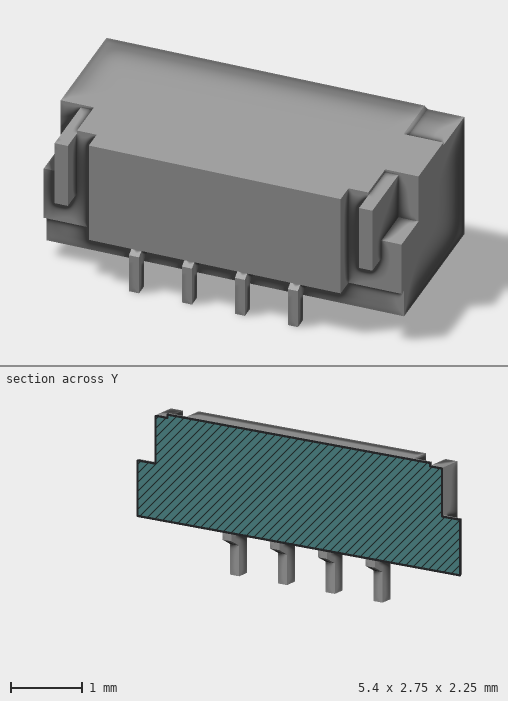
import cadquery as cq


width = 5.4
overall_depth = 2.75
overall_height = 2.25

pin_drop = 0.25
housing_height = overall_height - pin_drop
front_recess = 0.05
nose_depth = overall_depth - front_recess
nose_width = 3.8
shoulder_depth = 2.4
base_depth = 2.3
base_height = 0.43

blade_thickness = 0.2
blade_height = 1.0
blade_top_gap = 0.05
blade_side_gap = 0.3
pocket_back = 1.75
pocket_drop = 0.75
pocket_width = blade_side_gap + blade_thickness

marker_width = 0.6
marker_length = 0.8
marker_drop = 0.05

pin_count = 4
pin_pitch = 0.8
pin_width = 0.15
pin_thickness = 0.2
pin_root_gap = 0.05
pin_root_height = 0.12
pin_bend_rise = 0.115
pin_front_top = 0.35


def block(x_min, x_max, y_front, y_back, z_min, z_max):
    """Box spanning the given limits."""
    return cq.Workplane("XY").box(
        x_max - x_min, y_back - y_front, z_max - z_min, centered=False
    ).translate((x_min, y_front, z_min))


def make_housing():
    """Set-back base below wide shoulders, with a narrower nose in front."""
    half_width = width / 2
    half_nose = nose_width / 2
    base = block(-half_width, half_width, -base_depth, 0, 0, base_height)
    shoulders = block(-half_width, half_width, -shoulder_depth, 0, base_height, housing_height)
    nose = block(-half_nose, half_nose, -nose_depth, 0, base_height, housing_height)
    return base.union(shoulders).union(nose)


def make_left_pocket():
    """Volume removed from the front upper corner on the left."""
    left = -width / 2
    return block(
        left, left + pocket_width, -shoulder_depth, -pocket_back,
        housing_height - pocket_drop, housing_height,
    )


def make_left_blade():
    """Upright blade reaching forward from the back wall of the left pocket."""
    left = -width / 2 + blade_side_gap
    top = housing_height - blade_top_gap
    return block(
        left, left + blade_thickness, -overall_depth, -pocket_back, top - blade_height, top
    )


def make_marker():
    """Volume of the shallow recess in the back right corner of the top."""
    right = width / 2
    inner = right - marker_width
    floor = housing_height - marker_drop
    return (
        cq.Workplane("XZ")
        .moveTo(inner, housing_height)
        .lineTo(inner + marker_drop, floor)
        .lineTo(right, floor)
        .lineTo(right, housing_height)
        .close()
        .extrude(marker_length)
    )


def make_pin(x_centre):
    """Bent pin hanging from the underside of the nose."""
    root_back = -(base_depth + pin_root_gap)
    leg_front = -overall_depth
    leg_back = leg_front + pin_thickness
    bend_back = base_height - pin_root_height
    bend_slope = pin_bend_rise / (root_back - leg_back)
    root_front = leg_front + (base_height - pin_front_top) / bend_slope
    profile = [
        (root_back, base_height),
        (root_back, bend_back),
        (leg_back, bend_back - pin_bend_rise),
        (leg_back, -pin_drop),
        (leg_front, -pin_drop),
        (leg_front, pin_front_top),
        (root_front, base_height),
    ]
    pin = cq.Workplane("YZ").polyline(profile).close().extrude(pin_width / 2, both=True)
    return pin.translate((x_centre, 0, 0))


result = make_housing().cut(make_marker())

left_pocket = make_left_pocket()
left_blade = make_left_blade()
result = result.cut(left_pocket).cut(left_pocket.mirror("YZ"))
result = result.union(left_blade).union(left_blade.mirror("YZ"))

for index in range(pin_count):
    pin_x = (index - (pin_count - 1) / 2) * pin_pitch
    result = result.union(make_pin(pin_x))